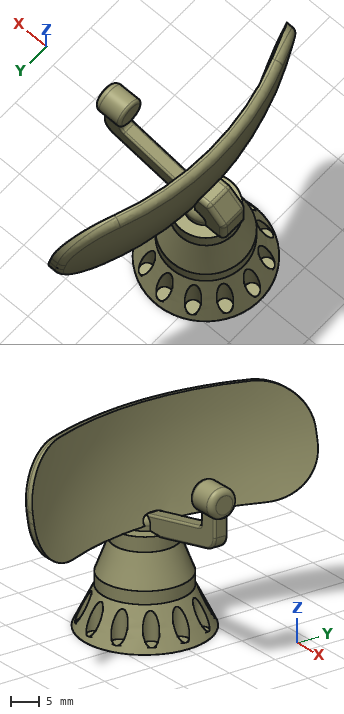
import cadquery as cq
import math

FOOT_RADIUS = 13.0
RING_RADIUS = 9.0
NECK_RADIUS = 6.5
FOOT_TOP = 8.0
RING_TOP = 10.6
SHOULDER_TOP = 17.05
NECK_TOP = 20.0

HOLE_COUNT = 12
HOLE_DIAMETER = 3.0
HOLE_CIRCLE_RADIUS = 11.0
HOLE_FLOOR = 1.1

BOSS_RADIUS = 4.0
BOSS_HEIGHT = 3.05
BOSS_FILLET = 2.0

DISH_WIDTH = 62.0
DISH_HEIGHT = 22.0
DISH_TOP = 43.0
DISH_CORNER_RADIUS = 10.0
DISH_SPHERE_RADIUS = 60.15
DISH_THICKNESS = 2.0
DISH_TILT = 10.0
DISH_BACK = -2.85
DISH_BACK_FILLET = 1.5
DISH_BLANK_DEPTH = 31.0
DISH_MIDDLE = DISH_TOP - DISH_HEIGHT / 2

BRACKET_WIDTH = 6.0
BRACKET_BACK = -6.9
BRACKET_FRONT = 0.0
BRACKET_TOP = 27.95
BRACKET_CHAMFER = 3.65
BRACKET_FILLET = 1.0

ARM_WIDTH = 3.0
ARM_DEPTH = 4.0
ARM_SLOPE = 12.0
ARM_FRONT = 23.05
ARM_CORNER_HEIGHT = 23.2
ARM_OUTER_BEND = 3.0
ARM_INNER_BEND = 1.0
ARM_EDGE_FILLET = 0.45

HORN_RADIUS = 6.0 / 2
HORN_BACK = 17.9
HORN_FRONT = 24.0
HORN_BACK_FILLET = 0.6
HORN_FRONT_FILLET = 1.2


def make_pedestal():
    profile = [
        (0, 0),
        (FOOT_RADIUS, 0),
        (RING_RADIUS, FOOT_TOP),
        (RING_RADIUS, RING_TOP),
        (NECK_RADIUS, SHOULDER_TOP),
        (NECK_RADIUS, NECK_TOP),
        (0, NECK_TOP),
    ]
    body = cq.Workplane("XZ").polyline(profile).close().revolve(360, (0, 0), (0, 1))
    holes = (
        cq.Workplane("XY", origin=(0, 0, HOLE_FLOOR))
        .polarArray(HOLE_CIRCLE_RADIUS, 0, 360, HOLE_COUNT)
        .circle(HOLE_DIAMETER / 2)
        .extrude(FOOT_TOP - HOLE_FLOOR)
    )
    return body.cut(holes)


def make_boss():
    return (
        cq.Workplane("XY", origin=(0, 0, NECK_TOP))
        .circle(BOSS_RADIUS)
        .extrude(BOSS_HEIGHT)
        .faces(">Z")
        .edges()
        .fillet(BOSS_FILLET)
    )


def make_dish():
    center_x = DISH_BACK + DISH_SPHERE_RADIUS
    center_z = DISH_MIDDLE + DISH_SPHERE_RADIUS * math.sin(math.radians(DISH_TILT))
    center = (center_x, 0, center_z)
    outer_ball = cq.Workplane("XY").sphere(DISH_SPHERE_RADIUS).translate(center)
    inner_ball = cq.Workplane("XY").sphere(DISH_SPHERE_RADIUS - DISH_THICKNESS).translate(center)
    outline = (
        cq.Workplane("YZ", origin=(DISH_BACK, 0, DISH_MIDDLE))
        .rect(DISH_WIDTH, DISH_HEIGHT)
        .extrude(DISH_BLANK_DEPTH)
        .edges("|X")
        .fillet(DISH_CORNER_RADIUS)
    )
    pad = outline.intersect(outer_ball)
    pad = pad.faces("<X").edges().fillet(DISH_BACK_FILLET)
    return pad.cut(inner_ball)


def make_bracket():
    block = (
        cq.Workplane("XZ")
        .moveTo(BRACKET_FRONT, NECK_TOP)
        .lineTo(BRACKET_BACK, NECK_TOP)
        .lineTo(BRACKET_BACK, BRACKET_TOP - BRACKET_CHAMFER)
        .lineTo(BRACKET_BACK + BRACKET_CHAMFER, BRACKET_TOP)
        .lineTo(BRACKET_FRONT, BRACKET_TOP)
        .close()
        .extrude(BRACKET_WIDTH / 2, both=True)
    )
    return block.edges("not(<Z or >X)").fillet(BRACKET_FILLET)


def make_arm():
    slope = math.tan(math.radians(ARM_SLOPE))
    inner_x = ARM_FRONT - ARM_DEPTH
    vertical_depth = ARM_DEPTH / math.cos(math.radians(ARM_SLOPE))

    def lower_edge(x):
        return ARM_CORNER_HEIGHT - (ARM_FRONT - x) * slope

    profile = [
        (0, lower_edge(0)),
        (ARM_FRONT, ARM_CORNER_HEIGHT),
        (ARM_FRONT, DISH_MIDDLE),
        (inner_x, DISH_MIDDLE),
        (inner_x, lower_edge(inner_x) + vertical_depth),
        (0, lower_edge(0) + vertical_depth),
    ]
    arm = cq.Workplane("XZ").polyline(profile).close().extrude(ARM_WIDTH / 2, both=True)
    outer_bend = cq.selectors.NearestToPointSelector((ARM_FRONT, 0, ARM_CORNER_HEIGHT))
    inner_bend = cq.selectors.NearestToPointSelector((inner_x, 0, lower_edge(inner_x) + vertical_depth))
    arm = arm.edges("|Y").edges(outer_bend).fillet(ARM_OUTER_BEND)
    arm = arm.edges("|Y").edges(inner_bend).fillet(ARM_INNER_BEND)
    return arm.faces("|Y").edges("not(<X or >Z)").fillet(ARM_EDGE_FILLET)


def make_horn():
    return (
        cq.Workplane("YZ", origin=(HORN_BACK, 0, DISH_MIDDLE))
        .circle(HORN_RADIUS)
        .extrude(HORN_FRONT - HORN_BACK)
        .faces("<X")
        .edges()
        .fillet(HORN_BACK_FILLET)
        .faces(">X")
        .edges()
        .fillet(HORN_FRONT_FILLET)
    )


result = (
    make_pedestal()
    .union(make_boss())
    .union(make_bracket())
    .union(make_dish())
    .union(make_arm())
    .union(make_horn())
)